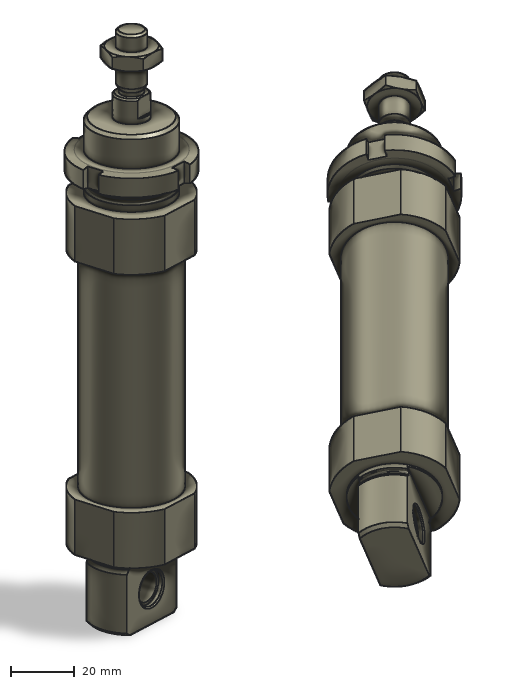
import cadquery as cq
import math

TOTAL_LENGTH = 201.5
ROD_PROJECTION = 30.0
NECK_LENGTH = 26.0
CAP_LENGTH = 19.0

FRONT_FACE_Z = TOTAL_LENGTH - ROD_PROJECTION
FRONT_CAP_TOP_Z = FRONT_FACE_Z - NECK_LENGTH
FRONT_CAP_BOTTOM_Z = FRONT_CAP_TOP_Z - CAP_LENGTH
REAR_CAP_BOTTOM_Z = NECK_LENGTH
REAR_CAP_TOP_Z = REAR_CAP_BOTTOM_Z + CAP_LENGTH

RELIEF_TAPER_ANGLE = math.radians(30)

TUBE_DIAMETER = 33.6
CAP_DIAMETER = 41.0
CAP_ACROSS_FLATS = 38.0
NECK_DIAMETER = 30.0
RELIEF_DIAMETER = 27.7
THREAD_CORE_DIAMETER = 28.38
NECK_CHAMFER = (NECK_DIAMETER - RELIEF_DIAMETER) / 2
RELIEF_WIDTH = 1.6
RELIEF_FILLET = 0.5
RELIEF_TAPER_LENGTH = (NECK_DIAMETER - THREAD_CORE_DIAMETER) / 2 / math.tan(RELIEF_TAPER_ANGLE)
FRONT_COLLAR_LENGTH = 2.3
REAR_COLLAR_LENGTH = 1.8

TONGUE_THICKNESS = 16.0
REAR_LIP_HEIGHT = 0.8
PIVOT_DIAMETER = 10.0
PIVOT_HEIGHT = 12.0
PIVOT_MOUTH_DIAMETER = 12.0
PIVOT_MOUTH_DEPTH = 2.0
PIVOT_CHAMFER = 0.5

ROD_DIAMETER = 12.0
ROD_ACROSS_FLATS = 10.0
ROD_FLAT_START = 1.75
ROD_SHOULDER = 8.5
ROD_SHOULDER_CHAMFER = 0.6
THREAD_DIAMETER = 10.0
THREAD_RELIEF_DIAMETER = 8.0
THREAD_RELIEF_WIDTH = 1.4
THREAD_TIP_DIAMETER = 8.4
THREAD_TIP_CHAMFER = (THREAD_DIAMETER - THREAD_TIP_DIAMETER) / 2
THREAD_TAPER_LENGTH = (THREAD_DIAMETER - THREAD_RELIEF_DIAMETER) / 2 / math.tan(RELIEF_TAPER_ANGLE)

HEX_NUT_ACROSS_FLATS = 17.0
HEX_NUT_HEIGHT = 5.0
HEX_NUT_SETBACK = 5.75
HEX_NUT_BOTTOM_Z = TOTAL_LENGTH - HEX_NUT_SETBACK - HEX_NUT_HEIGHT
HEX_NUT_CHAMFER_HEIGHT = 0.5

RING_NUT_DIAMETER = 42.0
RING_NUT_FACE_DIAMETER = 36.0
RING_NUT_HEIGHT = 7.7
RING_NUT_SETBACK = 11.2
RING_NUT_TOP_Z = FRONT_FACE_Z - RING_NUT_SETBACK
RING_NUT_CHAMFER_HEIGHT = 0.6
RING_NUT_SLOT_WIDTH = 6.0
RING_NUT_SLOT_DEPTH = 2.5
RING_NUT_SLOT_COUNT = 4


def cylinder(diameter, bottom, top):
    return cq.Workplane("XY").workplane(offset=bottom).circle(diameter / 2).extrude(top - bottom)


def box_between(size_x, size_y, bottom, top):
    return cq.Workplane("XY").workplane(offset=bottom).rect(size_x, size_y).extrude(top - bottom)


def turned(profile):
    """Solid of revolution about Z from (diameter, z) pairs, given from one end to the other."""
    outline = [(0, profile[0][1])]
    outline += [(diameter / 2, z) for diameter, z in profile]
    outline.append((0, profile[-1][1]))
    return cq.Workplane("XZ").polyline(outline).close().revolve(360, (0, 0), (0, 1))


def end_cap(bottom):
    """Round end cap with four wrench flats."""
    top = bottom + CAP_LENGTH
    flats = box_between(CAP_ACROSS_FLATS, CAP_ACROSS_FLATS, bottom, top)
    return cylinder(CAP_DIAMETER, bottom, top).intersect(flats)


def mounting_neck(collar_length):
    """Threaded neck standing on z = 0: collar, relief groove, then thread up to a chamfered end."""
    relief_end = collar_length + RELIEF_WIDTH
    neck = turned([
        (NECK_DIAMETER, 0),
        (NECK_DIAMETER, collar_length),
        (RELIEF_DIAMETER, collar_length),
        (RELIEF_DIAMETER, relief_end),
        (THREAD_CORE_DIAMETER, relief_end),
        (NECK_DIAMETER, relief_end + RELIEF_TAPER_LENGTH),
        (NECK_DIAMETER, NECK_LENGTH - NECK_CHAMFER),
        (RELIEF_DIAMETER, NECK_LENGTH),
    ])
    groove_corner = cq.selectors.BoxSelector(
        (-NECK_DIAMETER, -NECK_DIAMETER, collar_length - RELIEF_FILLET),
        (NECK_DIAMETER, NECK_DIAMETER, collar_length + RELIEF_FILLET),
    )
    smaller_circle = cq.selectors.RadiusNthSelector(0)
    return neck.edges(groove_corner).edges("%CIRCLE").edges(smaller_circle).fillet(RELIEF_FILLET)


def front_neck():
    return mounting_neck(FRONT_COLLAR_LENGTH).translate((0, 0, FRONT_CAP_TOP_Z))


def pivot_hole():
    """Hole along X through the tongue, widened and chamfered at both mouths."""
    face_x = TONGUE_THICKNESS / 2
    hole_radius = PIVOT_DIAMETER / 2
    mouth_radius = PIVOT_MOUTH_DIAMETER / 2
    half_profile = [
        (PIVOT_MOUTH_DEPTH, hole_radius),
        (PIVOT_MOUTH_DEPTH, mouth_radius),
        (PIVOT_CHAMFER, mouth_radius),
        (0, mouth_radius + PIVOT_CHAMFER),
        (0, 0),
    ]
    right_side = [(face_x - depth, radius) for depth, radius in half_profile]
    left_side = [(-x, radius) for x, radius in reversed(right_side)]
    return (
        cq.Workplane("XY")
        .polyline(left_side + right_side)
        .close()
        .revolve(360, (0, 0), (1, 0))
        .translate((0, 0, PIVOT_HEIGHT))
    )


def clevis():
    """Rear neck cut down to a flat tongue, with a round lip left at the cap."""
    neck = (
        mounting_neck(REAR_COLLAR_LENGTH)
        .rotate((0, 0, 0), (1, 0, 0), 180)
        .translate((0, 0, REAR_CAP_BOTTOM_Z))
    )
    lip_bottom = REAR_CAP_BOTTOM_Z - REAR_LIP_HEIGHT
    lip = cylinder(NECK_DIAMETER, lip_bottom, REAR_CAP_BOTTOM_Z)
    tongue = neck.intersect(box_between(TONGUE_THICKNESS, NECK_DIAMETER, 0, REAR_CAP_BOTTOM_Z))
    return tongue.union(lip).cut(pivot_hole())


def make_housing():
    tube = cylinder(TUBE_DIAMETER, REAR_CAP_TOP_Z, FRONT_CAP_BOTTOM_Z)
    body = clevis().union(end_cap(REAR_CAP_BOTTOM_Z)).union(tube)
    body = body.union(end_cap(FRONT_CAP_BOTTOM_Z)).union(front_neck())
    rod_bore = cylinder(ROD_DIAMETER, FRONT_CAP_BOTTOM_Z, FRONT_FACE_Z)
    return body.cut(rod_bore)


def make_rod():
    shoulder_z = FRONT_FACE_Z + ROD_SHOULDER
    relief_top = shoulder_z + THREAD_RELIEF_WIDTH
    rod = turned([
        (ROD_DIAMETER, FRONT_CAP_BOTTOM_Z),
        (ROD_DIAMETER, shoulder_z - ROD_SHOULDER_CHAMFER),
        (ROD_DIAMETER - 2 * ROD_SHOULDER_CHAMFER, shoulder_z),
        (THREAD_RELIEF_DIAMETER, shoulder_z),
        (THREAD_RELIEF_DIAMETER, relief_top),
        (THREAD_DIAMETER, relief_top + THREAD_TAPER_LENGTH),
        (THREAD_DIAMETER, TOTAL_LENGTH - THREAD_TIP_CHAMFER),
        (THREAD_TIP_DIAMETER, TOTAL_LENGTH),
    ])
    flats_z = FRONT_FACE_Z + ROD_FLAT_START
    flats_waste = box_between(2 * ROD_DIAMETER, ROD_DIAMETER, flats_z, shoulder_z).cut(
        box_between(ROD_ACROSS_FLATS, ROD_DIAMETER, flats_z, shoulder_z)
    )
    return rod.cut(flats_waste)


def make_hex_nut():
    """Hexagon nut with its flats facing +X and -X and both faces chamfered at the corners."""
    top = HEX_NUT_BOTTOM_Z + HEX_NUT_HEIGHT
    corner_diameter = HEX_NUT_ACROSS_FLATS / math.cos(math.pi / 6)
    hexagon = (
        cq.Workplane("XY").workplane(offset=HEX_NUT_BOTTOM_Z)
        .transformed(rotate=(0, 0, 30))
        .polygon(6, corner_diameter)
        .extrude(HEX_NUT_HEIGHT)
    )
    chamfer_cone = turned([
        (HEX_NUT_ACROSS_FLATS, HEX_NUT_BOTTOM_Z),
        (corner_diameter, HEX_NUT_BOTTOM_Z + HEX_NUT_CHAMFER_HEIGHT),
        (corner_diameter, top - HEX_NUT_CHAMFER_HEIGHT),
        (HEX_NUT_ACROSS_FLATS, top),
    ])
    return hexagon.intersect(chamfer_cone).cut(cylinder(THREAD_DIAMETER, HEX_NUT_BOTTOM_Z, top))


def make_ring_nut():
    """Round nut with four spanner slots in its rim."""
    bottom = RING_NUT_TOP_Z - RING_NUT_HEIGHT
    nut = turned([
        (RING_NUT_FACE_DIAMETER, bottom),
        (RING_NUT_DIAMETER, bottom + RING_NUT_CHAMFER_HEIGHT),
        (RING_NUT_DIAMETER, RING_NUT_TOP_Z - RING_NUT_CHAMFER_HEIGHT),
        (RING_NUT_FACE_DIAMETER, RING_NUT_TOP_Z),
    ]).cut(cylinder(NECK_DIAMETER, bottom, RING_NUT_TOP_Z))
    slot = box_between(RING_NUT_SLOT_DEPTH, RING_NUT_SLOT_WIDTH, bottom, RING_NUT_TOP_Z).translate(
        ((RING_NUT_DIAMETER - RING_NUT_SLOT_DEPTH) / 2, 0, 0)
    )
    for index in range(RING_NUT_SLOT_COUNT):
        angle = index * 360 / RING_NUT_SLOT_COUNT
        nut = nut.cut(slot.rotate((0, 0, 0), (0, 0, 1), angle))
    return nut


housing = make_housing()
rod = make_rod()
hex_nut = make_hex_nut()
ring_nut = make_ring_nut()

result = cq.Compound.makeCompound([housing.val(), rod.val(), hex_nut.val(), ring_nut.val()])